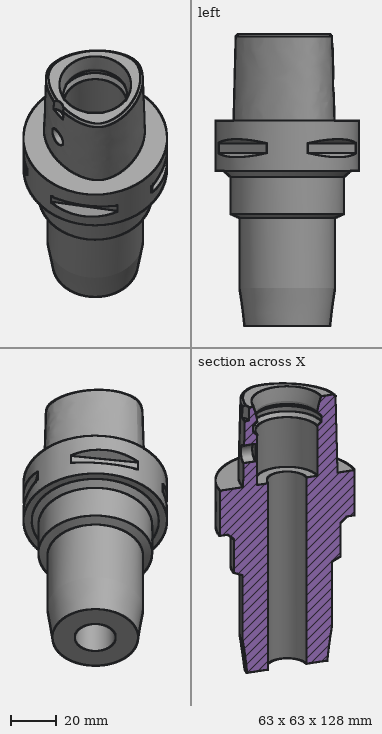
import cadquery as cq
import math

total_length = 128.0
taper_length = 38.0
nose_taper_top = 16.5
barrel_top = 47.4
body_bottom = 49.2
body_top = 65.3
flange_bottom = 68.0
flange_top = total_length - taper_length

flange_diameter = 63.0
flange_neck_diameter = 55.7
body_diameter = 49.9
barrel_diameter = 42.0
nose_diameter = 37.6

lobe_diameter = 44.3
lobe_count = 3
lobe_height = 1.4
diameter_taper = 1 / 20
rim_chamfer = 1.2
half_outline_steps = 24

through_diameter = 17.9
bore_diameter = 27.9
bore_floor = flange_top
mouth_diameter = 31.4
mouth_angle = 15.0
bore_land = 1.3
groove_diameter = 31.7
groove_bottom_depth = 14.1

gripper_count = 4
gripper_flat_offset = 27.5
gripper_flat_height = 4.1
gripper_mouth_rise = 1.9
gripper_length = 29.7
gripper_level = 78.0

notch_width = 7.4
notch_height = 6.4
notch_radius = 4.6
notch_inner_y = -18.0
side_hole_diameter = 8.2
side_hole_depth = 5.9
side_hole_level = total_length - 22.4


def lobed_wire(inset, level):
    """Constant-width outline with equal lobes, one of them on +Y, split on the YZ plane."""
    radius = lobe_diameter / 2 - inset

    def outline_point(angle):
        phase = lobe_count * (angle - math.pi / 2)
        reach = radius + lobe_height * math.cos(phase)
        slope = -lobe_count * lobe_height * math.sin(phase)
        x = reach * math.cos(angle) - slope * math.sin(angle)
        y = reach * math.sin(angle) + slope * math.cos(angle)
        return cq.Vector(x, y, level)

    halves = []
    for start in (-math.pi / 2, math.pi / 2):
        angles = [start + math.pi * step / half_outline_steps for step in range(half_outline_steps + 1)]
        halves.append(cq.Edge.makeSpline([outline_point(angle) for angle in angles]))
    return cq.Wire.assembleEdges(halves)


def make_shank():
    chamfer_level = total_length - rim_chamfer
    taper_inset = (chamfer_level - flange_top) * diameter_taper / 2
    base = lobed_wire(0, flange_top)
    shoulder = lobed_wire(taper_inset, chamfer_level)
    rim = lobed_wire(taper_inset + rim_chamfer, total_length)
    taper = cq.Solid.makeLoft([base, shoulder], True)
    chamfer = cq.Solid.makeLoft([shoulder, rim], True)
    return cq.Workplane(taper).union(cq.Workplane(chamfer))


def revolve_profile(points):
    """Turn (radius, level) points about the Z axis."""
    return cq.Workplane("XZ").polyline(points).close().revolve(360, (0, 0, 0), (0, 1, 0))


def make_body():
    return revolve_profile([
        (0, 0),
        (nose_diameter / 2, 0),
        (barrel_diameter / 2, nose_taper_top),
        (barrel_diameter / 2, barrel_top),
        (body_diameter / 2, body_bottom),
        (body_diameter / 2, body_top),
        (flange_neck_diameter / 2, flange_bottom),
        (flange_diameter / 2, flange_bottom),
        (flange_diameter / 2, flange_top),
        (0, flange_top),
    ])


def make_bore():
    through_radius = through_diameter / 2
    bore_radius = bore_diameter / 2
    mouth_radius = mouth_diameter / 2
    groove_radius = groove_diameter / 2
    groove_step = groove_radius - bore_radius
    mouth_end = total_length - (mouth_radius - bore_radius) / math.tan(math.radians(mouth_angle))
    land_end = mouth_end - bore_land
    groove_bottom = total_length - groove_bottom_depth
    return revolve_profile([
        (0, 0),
        (through_radius, 0),
        (through_radius, bore_floor),
        (bore_radius, bore_floor),
        (bore_radius, groove_bottom),
        (groove_radius, groove_bottom + groove_step),
        (groove_radius, land_end - groove_step),
        (bore_radius, land_end),
        (bore_radius, mouth_end),
        (mouth_radius, total_length),
        (0, total_length),
    ])


def make_gripper_grooves():
    """Flat-bottomed grooves with flared sides, spaced between the main axes."""
    rim = flange_diameter / 2
    half_flat = gripper_flat_height / 2
    half_mouth = half_flat + gripper_mouth_rise
    groove = (
        cq.Workplane("XZ")
        .polyline([
            (gripper_flat_offset, -half_flat),
            (rim, -half_mouth),
            (rim, half_mouth),
            (gripper_flat_offset, half_flat),
        ])
        .close()
        .extrude(gripper_length / 2, both=True)
        .translate((0, 0, gripper_level))
    )
    spacing = 360 / gripper_count
    grooves = cq.Workplane("XY")
    for index in range(gripper_count):
        grooves = grooves.add(groove.rotate((0, 0, 0), (0, 0, 1), spacing * (index + 0.5)))
    return grooves.combine()


def make_key_notch():
    """Vertical round scoop trimmed to the notch width."""
    scoop_y = notch_inner_y - notch_radius
    floor = cq.Workplane("XY", origin=(0, scoop_y, total_length - notch_height))
    scoop = floor.circle(notch_radius).extrude(notch_height)
    slot = floor.rect(notch_width, 2 * notch_radius).extrude(notch_height)
    return scoop.intersect(slot)


def make_side_hole():
    surface_y = -(lobe_diameter / 2 - lobe_height)
    floor = cq.Workplane("XZ", origin=(0, surface_y + side_hole_depth, side_hole_level))
    return floor.circle(side_hole_diameter / 2).extrude(flange_diameter / 2)


result = (
    make_body()
    .union(make_shank())
    .cut(make_bore())
    .cut(make_gripper_grooves())
    .cut(make_key_notch())
    .cut(make_side_hole())
)